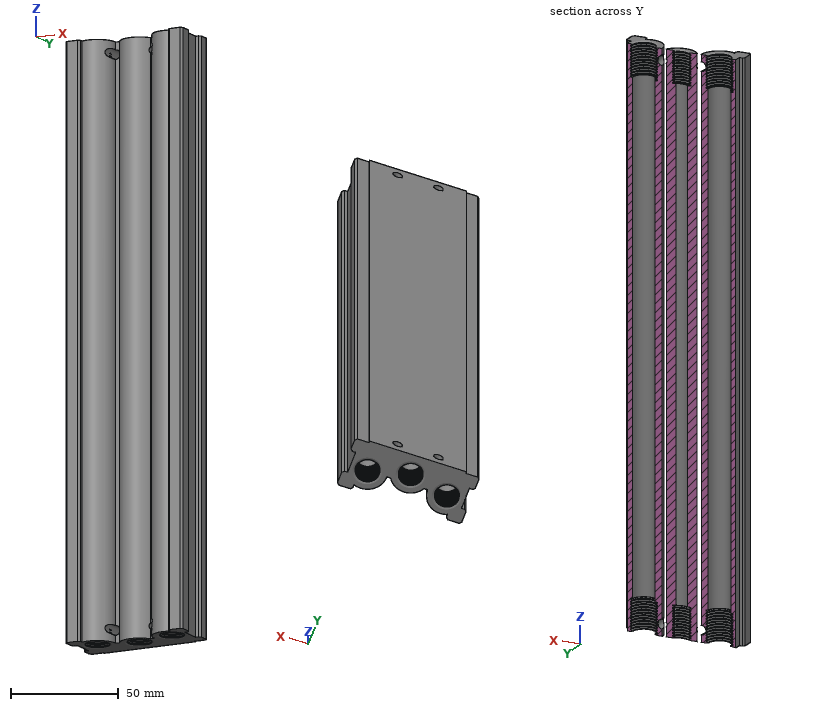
import cadquery as cq

length = 287.0
width = 61.0
depth = 26.5
half_width = width / 2
back = depth / 2
front = -depth / 2

back_pad_half_width = 23.8
back_pad_height = 1.0
shoulder = back - back_pad_height

corner_chamfer = 1.0
slot_half_opening = 5.5
slot_depth = 2.5
slot_floor = half_width - slot_depth
foot_inner_x = 23.0

bore_spacing = 19.5
center_bore_offset = 5.0
side_bore_y = -1.87
center_bore_y = side_bore_y + center_bore_offset
wall_radius = 9.5
valley_y = -1.7
bore_centers = [
    (-bore_spacing, side_bore_y),
    (0, center_bore_y),
    (bore_spacing, side_bore_y),
]

thread_major_radius = 7.0
thread_minor_radius = 5.7
thread_pitch = 1.35
thread_turns = 12

mount_hole_radius = 2.3
mount_hole_x = 10.0
mount_hole_end_distance = 6.0


def block(half_size_x, y_min, y_max):
    """Full-length bar centred in X between two Y limits."""
    return (
        cq.Workplane("XY")
        .center(0, (y_min + y_max) / 2)
        .rect(2 * half_size_x, y_max - y_min)
        .extrude(length)
    )


def side_rail(side):
    """Chamfered, slotted rail on the side given by the sign of X."""
    chamfered_x = half_width - corner_chamfer
    points = [
        (foot_inner_x, shoulder),
        (chamfered_x, shoulder),
        (half_width, shoulder - corner_chamfer),
        (half_width, slot_half_opening + corner_chamfer),
        (chamfered_x, slot_half_opening),
        (slot_floor, slot_half_opening),
        (slot_floor, -slot_half_opening),
        (chamfered_x, -slot_half_opening),
        (half_width, -slot_half_opening - corner_chamfer),
        (half_width, front + corner_chamfer),
        (chamfered_x, front),
        (foot_inner_x + corner_chamfer, front),
        (foot_inner_x, front + corner_chamfer),
    ]
    placed_points = [(side * x, y) for x, y in points]
    return cq.Workplane("XY").polyline(placed_points).close().extrude(length)


def profile_body():
    """Solid extrusion: back plate, round bore walls and side rails."""
    walls = cq.Workplane("XY").pushPoints(bore_centers).circle(wall_radius).extrude(length)
    core = block(back_pad_half_width, valley_y, back).union(walls)
    core = core.intersect(block(slot_floor, front, back))
    return core.union(side_rail(-1)).union(side_rail(1))


def thread_cutter(mouth_z, direction):
    """Stack of ring grooves running inward from one end of a bore."""
    points = [(0, mouth_z), (thread_major_radius, mouth_z)]
    step = direction * thread_pitch
    for turn in range(thread_turns):
        z = mouth_z + turn * step
        points.append((thread_minor_radius, z + step / 4))
        points.append((thread_minor_radius, z + step / 2))
        points.append((thread_major_radius, z + step * 3 / 4))
        points.append((thread_major_radius, z + step))
    points.append((0, mouth_z + thread_turns * step))
    return cq.Workplane("XZ").polyline(points).close().revolve(360, (0, 0, 0), (0, 1, 0))


def threaded_bore_cutter():
    """Through bore on the Z axis with threads at both ends."""
    bore = cq.Workplane("XY").circle(thread_minor_radius).extrude(length)
    return bore.union(thread_cutter(0, 1)).union(thread_cutter(length, -1))


def mounting_hole_cutters():
    """Four round holes along Y, two near each end."""
    hole_z_positions = (mount_hole_end_distance, length - mount_hole_end_distance)
    centers = [(x, z) for x in (-mount_hole_x, mount_hole_x) for z in hole_z_positions]
    return (
        cq.Workplane("XZ", origin=(0, back, 0))
        .pushPoints(centers)
        .circle(mount_hole_radius)
        .extrude(depth)
    )


result = profile_body()
bore_cutter = threaded_bore_cutter()
for bore_x, bore_y in bore_centers:
    result = result.cut(bore_cutter.translate((bore_x, bore_y, 0)))
result = result.cut(mounting_hole_cutters())